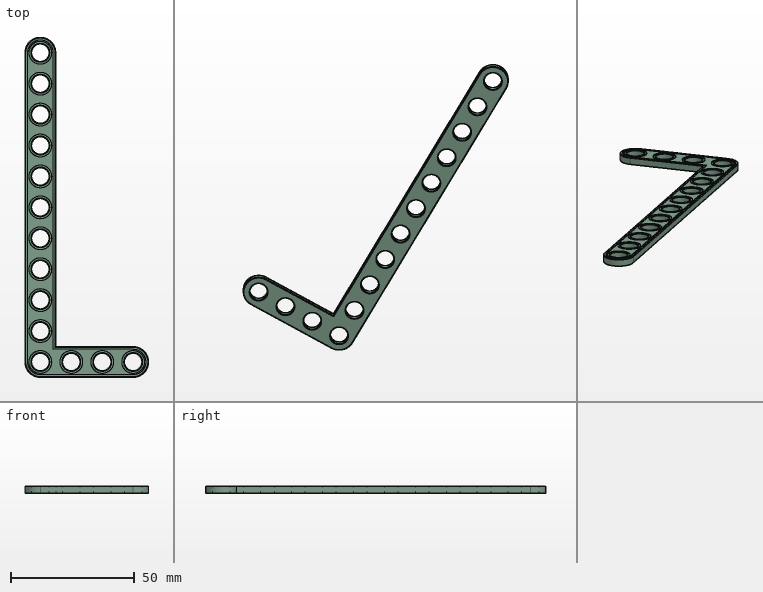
import cadquery as cq

long_arm_holes = 11
short_arm_holes = 4
overall_length = 137.5
pitch = overall_length / long_arm_holes
strip_width = pitch
thickness = pitch / 4

hole_diameter = 7.0
collar_diameter = 9.2
rim_width = (collar_diameter - hole_diameter) / 2
recess_depth = 0.2
edge_chamfer = 0.3

long_span = (long_arm_holes - 1) * pitch
short_span = (short_arm_holes - 1) * pitch

long_arm_centres = [(0, row * pitch) for row in range(long_arm_holes)]
short_arm_centres = [(column * pitch, 0) for column in range(1, short_arm_holes)]
hole_centres = long_arm_centres + short_arm_centres


def angle_plate(width, height):
    """L-shaped plate with round ends, centred on the two rows of holes."""
    long_arm = (
        cq.Workplane("XY")
        .center(0, long_span / 2)
        .slot2D(long_span + width, width, 90)
        .extrude(height)
    )
    short_arm = (
        cq.Workplane("XY")
        .center(short_span / 2, 0)
        .slot2D(short_span + width, width)
        .extrude(height)
    )
    return long_arm.union(short_arm).clean()


def discs(diameter, height):
    """Upright cylinders at every hole centre."""
    return cq.Workplane("XY").pushPoints(hole_centres).circle(diameter / 2).extrude(height)


plate = (
    angle_plate(strip_width, thickness)
    .cut(discs(hole_diameter, thickness))
    .faces("|Z")
    .edges()
    .chamfer(edge_chamfer)
)

recess = (
    angle_plate(strip_width - 2 * rim_width, recess_depth)
    .cut(discs(collar_diameter, recess_depth))
    .translate((0, 0, thickness - recess_depth))
)

result = plate.cut(recess)